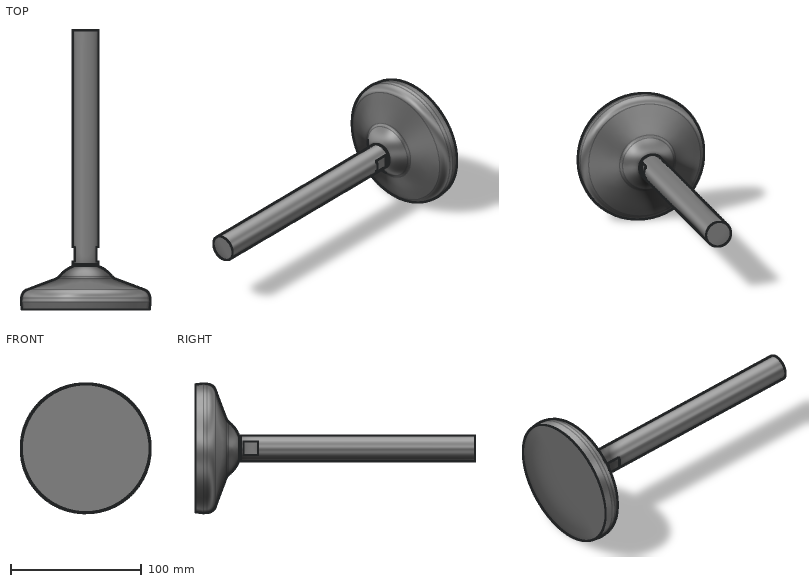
import cadquery as cq
import math

overall_length = 215.0

rim_radius = 50.0
sole_radius = 49.2
rim_height = 6.0
shoulder_height = 9.0
shoulder_radius = 49.7
flank_base_height = 15.5
flank_outer_radius = 44.9
flank_angle = 20.5
dome_radius = 26.0
dome_centre_height = 9.4
dome_blend_radius = 4.5
dome_top_height = 33.65
collar_base_height = 34.4

stem_radius = 10.0
stem_length = 180.0
stem_base_height = overall_length - stem_length
flat_across = 17.0
flat_start = 37.0
flat_length = 11.0


def dome_profile_radius(height):
    """Distance from the axis to the dome surface at a given height."""
    return math.sqrt(dome_radius**2 - (height - dome_centre_height) ** 2)


def flank_dome_corner():
    """Radius and height where the straight flank meets the dome."""
    slope = math.tan(math.radians(flank_angle))
    axis_rise = flank_base_height + slope * flank_outer_radius - dome_centre_height
    a = 1 + slope**2
    half_b = axis_rise * slope
    c = axis_rise**2 - dome_radius**2
    radius = (half_b + math.sqrt(half_b**2 - a * c)) / a
    return radius, dome_centre_height + axis_rise - slope * radius


def build_foot():
    corner_radius, corner_height = flank_dome_corner()
    dome_mid_height = (corner_height + dome_top_height) / 2
    dome_mid = (dome_profile_radius(dome_mid_height), dome_mid_height)
    dome_top = (dome_profile_radius(dome_top_height), dome_top_height)
    profile = (
        cq.Workplane("XY")
        .lineTo(0, stem_base_height)
        .lineTo(stem_radius, stem_base_height)
        .lineTo(stem_radius, collar_base_height)
        .lineTo(*dome_top)
        .threePointArc(dome_mid, (corner_radius, corner_height))
        .lineTo(flank_outer_radius, flank_base_height)
        .tangentArcPoint((shoulder_radius, shoulder_height), relative=False)
        .lineTo(rim_radius, rim_height)
        .lineTo(sole_radius, 0)
        .close()
    )
    foot = profile.revolve(360, (0, 0, 0), (0, 1, 0))
    tolerance = 0.1
    corner_edge = cq.selectors.BoxSelector(
        (-rim_radius, corner_height - tolerance, -rim_radius),
        (rim_radius, corner_height + tolerance, rim_radius),
    )
    return foot.edges(corner_edge).fillet(dome_blend_radius)


def build_stem():
    stem = cq.Workplane("XZ", origin=(0, overall_length, 0)).circle(stem_radius).extrude(stem_length)
    flat_depth = stem_radius - flat_across / 2
    for side in (-1, 1):
        cutter = cq.Workplane("XY").box(flat_depth, flat_length, 2 * stem_radius).translate(
            (side * (flat_across + flat_depth) / 2, flat_start + flat_length / 2, 0)
        )
        stem = stem.cut(cutter)
    return stem


foot = build_foot()
stem = build_stem()
result = cq.Compound.makeCompound([foot.val(), stem.val()])